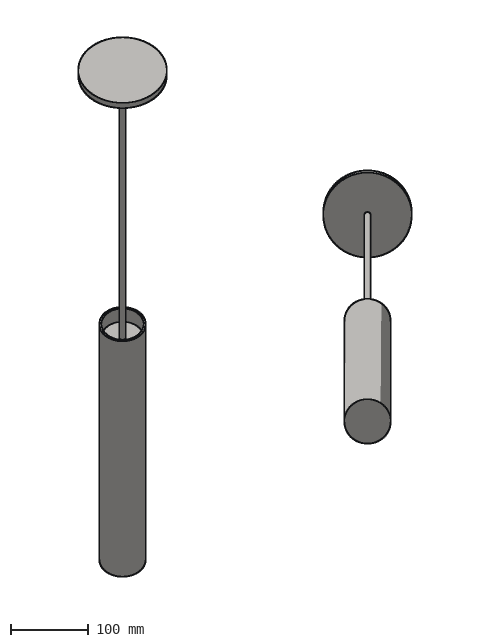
import cadquery as cq

total_height = 934.5

canopy_diameter = 114.0
canopy_thickness = 10.0
rod_diameter = 8.0

lamp_diameter = 60.0
lamp_height = 449.5
wall_thickness = 3.0
recess_depth = 25.0

recess_floor_z = lamp_height - recess_depth
canopy_bottom_z = total_height - canopy_thickness


def cylinder(diameter, bottom_z, height):
    """Upright cylinder centred on the Z axis."""
    return cq.Workplane("XY").workplane(offset=bottom_z).circle(diameter / 2).extrude(height)


def make_lamp_body():
    """Cylinder with a shallow recess that leaves a thin rim around its top."""
    body = cylinder(lamp_diameter, 0, lamp_height)
    recess_diameter = lamp_diameter - 2 * wall_thickness
    return body.cut(cylinder(recess_diameter, recess_floor_z, recess_depth))


def make_suspension():
    """Canopy disc with its rod, which stands on the floor of the lamp recess."""
    canopy = cylinder(canopy_diameter, canopy_bottom_z, canopy_thickness)
    rod = cylinder(rod_diameter, recess_floor_z, canopy_bottom_z - recess_floor_z)
    return canopy.union(rod)


lamp_body = make_lamp_body()
suspension = make_suspension()

result = cq.Compound.makeCompound([lamp_body.val(), *suspension.vals()])